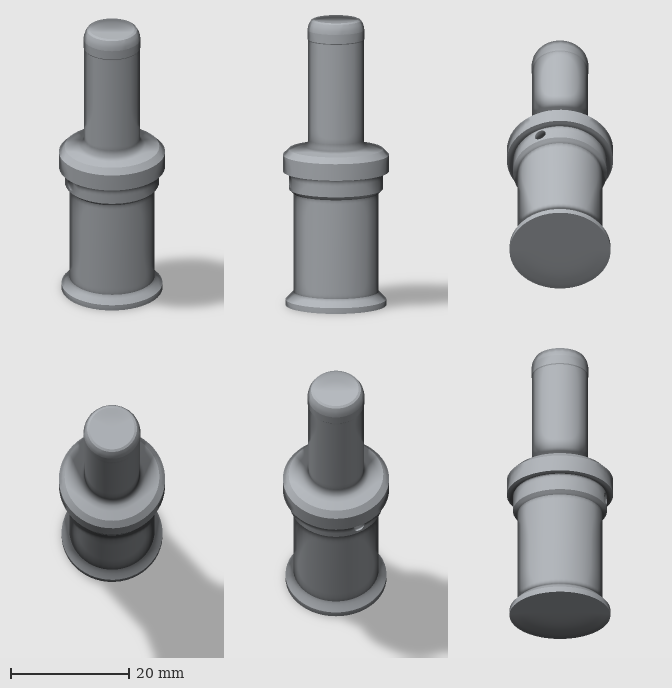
import cadquery as cq
import math

total_height = 49.2

foot_radius = 8.55
foot_rim_height = 1.0
body_radius = 7.25
foot_cone_top = foot_rim_height + foot_radius - body_radius

collar_radius = 7.95
collar_bottom = 19.35
collar_chamfer_height = 0.65
relief_radius = 7.8
relief_height = 0.3

flange_radius = 9.0
flange_bottom = 23.05
flange_rim_top = 25.9
flange_chamfer = 1.0

shoulder_angle = math.radians(13)
shoulder_fillet = 1.0

pin_radius = 4.7
head_radius = 4.8
head_bottom = 45.8
head_band_height = 1.55
head_step_height = 0.15
nose_radius = 4.25
tip_radius = 3.85
tip_height = 0.2
nose_bulge = 0.15

hole_diameter = 2.0
hole_depth = 1.5
hole_height = 21.45


def turned_profile():
    """Half section of the part, with radius along X and height along Z."""
    shoulder_radius = flange_radius - flange_chamfer
    shoulder_bottom = flange_rim_top + flange_chamfer

    fillet_centre_radius = pin_radius + shoulder_fillet
    fillet_start_radius = fillet_centre_radius - shoulder_fillet * math.sin(shoulder_angle)
    fillet_start = shoulder_bottom + (shoulder_radius - fillet_start_radius) * math.tan(shoulder_angle)
    fillet_end = fillet_start + shoulder_fillet * math.cos(shoulder_angle)
    middle_angle = (math.pi / 2 + shoulder_angle) / 2
    fillet_middle = (
        fillet_centre_radius - shoulder_fillet * math.sin(middle_angle),
        fillet_end - shoulder_fillet * math.cos(middle_angle),
    )

    band_top = head_bottom + head_band_height
    nose_top = total_height - tip_height
    nose_middle = ((head_radius + nose_radius) / 2 + nose_bulge, (band_top + nose_top) / 2)

    return (
        cq.Workplane("XZ")
        .lineTo(foot_radius, 0)
        .lineTo(foot_radius, foot_rim_height)
        .lineTo(body_radius, foot_cone_top)
        .lineTo(body_radius, collar_bottom)
        .lineTo(collar_radius, collar_bottom + collar_chamfer_height)
        .lineTo(collar_radius, flange_bottom - relief_height)
        .lineTo(relief_radius, flange_bottom - relief_height)
        .lineTo(relief_radius, flange_bottom)
        .lineTo(flange_radius, flange_bottom)
        .lineTo(flange_radius, flange_rim_top)
        .lineTo(shoulder_radius, shoulder_bottom)
        .lineTo(fillet_start_radius, fillet_start)
        .threePointArc(fillet_middle, (pin_radius, fillet_end))
        .lineTo(pin_radius, head_bottom - head_step_height)
        .lineTo(head_radius, head_bottom)
        .lineTo(head_radius, band_top)
        .threePointArc(nose_middle, (nose_radius, nose_top))
        .lineTo(tip_radius, total_height)
        .lineTo(0, total_height)
        .close()
    )


def collar_hole():
    """Cutter reaching from outside the collar to the hole's flat bottom."""
    return (
        cq.Workplane("XZ", origin=(0, hole_depth - collar_radius, hole_height))
        .circle(hole_diameter / 2)
        .extrude(2 * hole_depth)
    )


body = turned_profile().revolve(360, (0, 0, 0), (0, 1, 0))
result = body.cut(collar_hole())